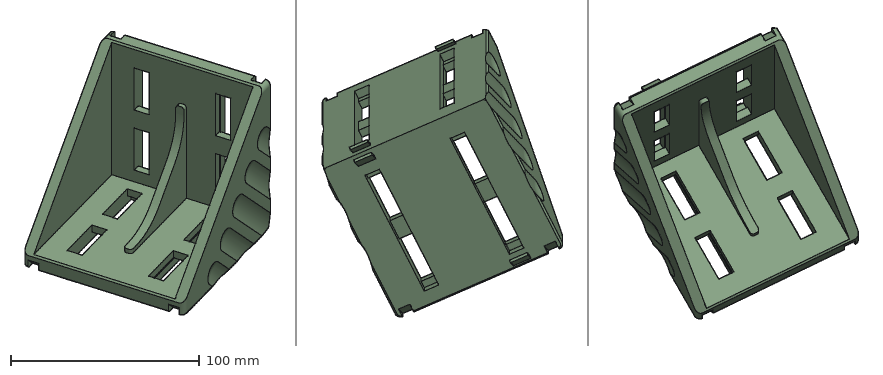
import cadquery as cq
import math


WIDTH = 98.0
LEG = 95.7
PLATE = 9.3
WALL = 6.1
END_LAND = 8.3
CORNER_RADIUS = 3.2
EDGE_CHAMFER = 1.1

SLOT_WIDTH = 9.0
SLOT_LENGTH = 27.1
SLOT_CENTRES = (30.4, 69.2)
CHANNEL_X = 25.0
CHANNEL_WIDTH = 8.4
CHANNEL_DEPTH = 4.8
CHANNEL_OVERRUN = 4.0

RIB_WIDTH = 5.0
RIB_REACH = 69.4
RIB_TIP_HEIGHT = 2.7
RIB_TIP_LENGTH = 5.3
RIB_ARC_RADIUS = 34.9
RIB_END_RADIUS = 1.9

NOTCH_WIDTH = 6.5
NOTCH_INSET = 3.0
NOTCH_LEG = 5.4

FIN_WIDTH = 10.3
FIN_X = 25.0
FIN_THICKNESS = 1.6
FIN_ROOT = 0.8
CORNER_FIN = (4.7, 1.9)
END_FIN = (3.7, 89.9)

FLUTE_COUNT = 5
FLUTE_PITCH = 13.6
FLUTE_MIDDLE = 36.0
FLUTE_HALF_WIDTH = 6.5
FLUTE_DEPTH = 1.5

COS_45 = math.sqrt(0.5)


def prism(points, width, x_centre=0.0):
    """Prism along X with a (y, z) outline."""
    outline = cq.Workplane("YZ").polyline(points).close()
    return outline.extrude(width / 2, both=True).translate((x_centre, 0, 0))


def on_both_plates(shape):
    """A back plate feature together with its twin on the bottom plate."""
    twin = shape.mirror("XY").rotate((0, 0, 0), (1, 0, 0), -90)
    return shape.union(twin)


def body():
    """Hollowed wedge with rounded free corners and chamfered outer rims."""
    outline = [(0, 0), (0, LEG), (-END_LAND, LEG), (-LEG, END_LAND), (-LEG, 0)]
    block = prism(outline, WIDTH)
    block = block.faces(">Z").edges("|Y").fillet(CORNER_RADIUS)
    block = block.faces("<Y").edges("|Z").fillet(CORNER_RADIUS)
    block = block.faces(">Y").edges("not <Z").chamfer(EDGE_CHAMFER)
    block = block.faces("<Z").edges("not >Y").chamfer(EDGE_CHAMFER)
    inside = [(-PLATE, PLATE), (-PLATE, LEG), (-LEG, LEG), (-LEG, PLATE)]
    return block.cut(prism(inside, WIDTH - 2 * WALL))


def rib():
    """Rib on both plates: flat tips, then arcs leading into a straight 45 degree middle."""
    tip = PLATE + RIB_TIP_HEIGHT
    arc_start = RIB_REACH - RIB_TIP_LENGTH
    arc_rise = RIB_ARC_RADIUS * (1 - COS_45)
    arc_run = RIB_ARC_RADIUS * COS_45
    mid_angle = math.radians(22.5)
    mid_rise = RIB_ARC_RADIUS * (1 - math.cos(mid_angle))
    mid_run = RIB_ARC_RADIUS * math.sin(mid_angle)
    web = (
        cq.Workplane("YZ")
        .moveTo(-PLATE, PLATE)
        .lineTo(-PLATE, RIB_REACH)
        .lineTo(-tip, RIB_REACH)
        .lineTo(-tip, arc_start)
        .threePointArc((-tip - mid_rise, arc_start - mid_run), (-tip - arc_rise, arc_start - arc_run))
        .lineTo(-arc_start + arc_run, tip + arc_rise)
        .threePointArc((-arc_start + mid_run, tip + mid_rise), (-arc_start, tip))
        .lineTo(-RIB_REACH, tip)
        .lineTo(-RIB_REACH, PLATE)
        .close()
        .extrude(RIB_WIDTH / 2, both=True)
    )
    web = web.faces(">Z").edges("|Y").fillet(RIB_END_RADIUS)
    return web.faces("<Y").edges("|Z").fillet(RIB_END_RADIUS)


def slots():
    """Two slots on each side of the back plate, opening into a channel in its rear face."""
    first, last = SLOT_CENTRES
    channel_length = last - first + SLOT_LENGTH + 2 * CHANNEL_OVERRUN
    channel = cq.Workplane("XY").box(CHANNEL_WIDTH, CHANNEL_DEPTH, channel_length)
    slot = cq.Workplane("XY").box(SLOT_WIDTH, PLATE - CHANNEL_DEPTH, SLOT_LENGTH)
    channel_y = -CHANNEL_DEPTH / 2
    slot_y = -(PLATE + CHANNEL_DEPTH) / 2
    slot_x = CHANNEL_X + (CHANNEL_WIDTH - SLOT_WIDTH) / 2
    cutter = cq.Workplane("XY")
    for side in (-1, 1):
        cutter = cutter.union(channel.translate((side * CHANNEL_X, channel_y, (first + last) / 2)))
        for centre in SLOT_CENTRES:
            cutter = cutter.union(slot.translate((side * slot_x, slot_y, centre)))
    return cutter


def notches():
    """45 degree cuts across the top rear edge, close to both side faces."""
    outline = [(0, LEG - NOTCH_LEG), (-NOTCH_LEG, LEG), (0, LEG)]
    x_centre = (WIDTH - NOTCH_WIDTH) / 2 - NOTCH_INSET
    return prism(outline, NOTCH_WIDTH, -x_centre).union(prism(outline, NOTCH_WIDTH, x_centre))


def fin(outermost, x_centre):
    """Thin plate leaning out of the rear face, 45 degrees downwards."""
    y, z = outermost
    drop = FIN_THICKNESS * COS_45
    reach = y + FIN_ROOT
    outline = [
        (y, z),
        (y - drop, z - drop),
        (y - drop - reach, z - drop + reach),
        (y - reach, z + reach),
    ]
    return prism(outline, FIN_WIDTH, x_centre)


def cut_flutes(part):
    """Shallow grooves in both walls, from spherical ends at 45 degrees down to the outer faces."""
    radius = (FLUTE_HALF_WIDTH**2 + FLUTE_DEPTH**2) / (2 * FLUTE_DEPTH)
    axis_x = WIDTH / 2 - FLUTE_DEPTH + radius
    direction = cq.Vector(0, 1, -1)
    for side in (-1, 1):
        for step in range(FLUTE_COUNT):
            offset = (step - FLUTE_COUNT // 2) * FLUTE_PITCH
            end = cq.Vector(side * axis_x, -FLUTE_MIDDLE - offset, FLUTE_MIDDLE - offset)
            groove = cq.Solid.makeCylinder(radius, LEG, end, direction)
            groove_end = cq.Workplane("XY").sphere(radius).translate(end)
            part = part.cut(cq.Workplane(groove)).cut(groove_end)
    return part


result = cut_flutes(body().union(rib()))
result = result.cut(on_both_plates(slots())).cut(on_both_plates(notches()))
result = result.union(on_both_plates(fin(CORNER_FIN, FIN_X)))
result = result.union(on_both_plates(fin(END_FIN, -FIN_X)))